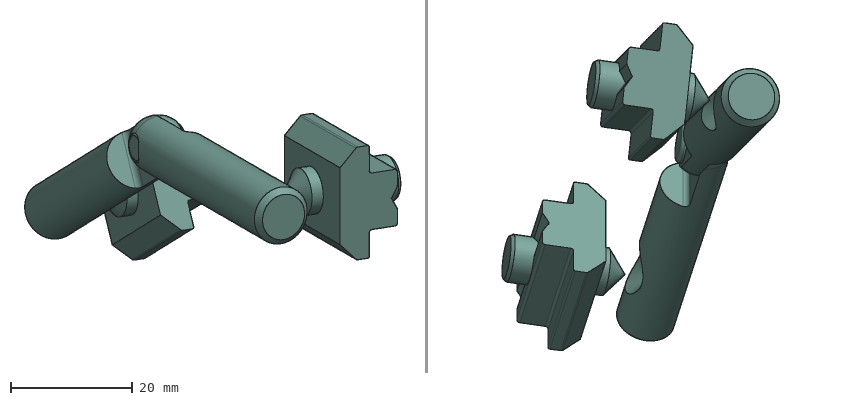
import cadquery as cq
import math


ROD_DIAMETER = 9.8
ROD_RADIUS = ROD_DIAMETER / 2
ROD_LENGTH = 45.0
ROD_END_CHAMFER = 1.0
HINGE_ANGLE = 30.0
LAP_LENGTH = 10.0
SHOULDER_FILLET = 1.0
TONGUE_THICKNESS = 3.0

SEAT_DISTANCE = 31.7
SEAT_MOUTH_RADIUS = 5.6

PIN_DIAMETER = 5.0
PIN_END_Y = -4.3
PIN_CHAMFER = 0.4
HEAD_DIAMETER = 6.5
HEAD_HEIGHT = 0.95
HEAD_FILLET = 0.6

NUT_LENGTH = 20.0
NUT_WIDTH = 19.5
NUT_FRONT_Y = 11.0
FLANGE_THICKNESS = 5.45
FLANGE_CHAMFER = 3.1
FLANGE_EDGE_FILLET = 0.3
FLANGE_CORNER_FILLET = 0.5
NECK_WIDTH = 9.8
NECK_HEIGHT = 5.25
NECK_FILLET = 0.5
GROOVE_DEPTH = 1.15
GROOVE_WIDTH = 4.0
RIGHT_NUT_DISTANCE = 34.0
LEFT_NUT_DISTANCE = 37.39

SCREW_DIAMETER = 8.0
SCREW_LENGTH = 20.0
SCREW_END_Y = 25.6
TIP_HEIGHT = 3.3
SCREW_CHAMFER_LENGTH = 0.6
SCREW_CHAMFER_DEPTH = 0.4


def y_cylinder(diameter, y_start, y_end):
    """Cylinder around the Y axis between two Y positions."""
    circle = cq.Workplane("XZ", origin=(0, y_start, 0)).circle(diameter / 2)
    return circle.extrude(y_start - y_end)


def y_block(x_start, x_end, y_start, y_end):
    """Block taller than a rod, between two X and two Y positions."""
    size = (x_end - x_start, y_end - y_start, 2 * ROD_DIAMETER)
    corner = (x_start, y_start, -ROD_DIAMETER)
    return cq.Workplane("XY").box(*size, centered=False).translate(corner)


def swing_left(body):
    """Turn a body lying along +X into the left arm, keeping its +Y side."""
    return body.rotate((0, 0, 0), (0, 1, 0), 180 - HINGE_ANGLE)


def rod_blank():
    """Rod along +X: ball end at the pivot, chamfered free end, conical seat."""
    arc_middle = ROD_RADIUS * math.sqrt(0.5)
    half_section = (
        cq.Workplane("XY")
        .moveTo(-ROD_RADIUS, 0)
        .threePointArc((-arc_middle, arc_middle), (0, ROD_RADIUS))
        .lineTo(ROD_LENGTH - ROD_END_CHAMFER, ROD_RADIUS)
        .lineTo(ROD_LENGTH, ROD_RADIUS - ROD_END_CHAMFER)
        .lineTo(ROD_LENGTH, 0)
        .close()
    )
    blank = half_section.revolve(360, (0, 0, 0), (1, 0, 0))

    seat_depth = SEAT_MOUTH_RADIUS * TIP_HEIGHT / (SCREW_DIAMETER / 2)
    seat = cq.Solid.makeCone(
        0, SEAT_MOUTH_RADIUS, seat_depth,
        pnt=cq.Vector(SEAT_DISTANCE, ROD_RADIUS - seat_depth, 0),
        dir=cq.Vector(0, 1, 0),
    )
    return blank.cut(cq.Workplane(seat))


def lap_cut(y_start, y_end, root_side):
    """Material removed beside a tongue, rounded where the tongue meets the shoulder."""
    cut = y_block(-ROD_DIAMETER, LAP_LENGTH, y_start, y_end)
    return cut.edges(f">X and {root_side}Y").fillet(SHOULDER_FILLET)


def make_right_rod():
    rod = rod_blank().cut(lap_cut(0, ROD_DIAMETER, "<"))
    return rod.cut(y_cylinder(PIN_DIAMETER, -ROD_DIAMETER, 0))


def make_left_rod():
    rod = rod_blank()
    rod = rod.cut(lap_cut(-ROD_DIAMETER, 0, ">"))
    rod = rod.cut(lap_cut(TONGUE_THICKNESS, ROD_DIAMETER, "<"))

    pin = y_cylinder(PIN_DIAMETER, PIN_END_Y, TONGUE_THICKNESS)
    pin = pin.faces("<Y").chamfer(PIN_CHAMFER)
    head = y_cylinder(HEAD_DIAMETER, TONGUE_THICKNESS, TONGUE_THICKNESS + HEAD_HEIGHT)
    head = head.faces(">Y").edges().fillet(HEAD_FILLET)
    return swing_left(rod.union(pin).union(head))


def make_nut(distance):
    """T-shaped slot nut with its length along X and its flange towards the rod."""
    half_width = NUT_WIDTH / 2
    half_neck = NECK_WIDTH / 2
    half_groove = GROOVE_WIDTH / 2
    chamfer_y = NUT_FRONT_Y + FLANGE_CHAMFER
    flange_y = NUT_FRONT_Y + FLANGE_THICKNESS
    back_y = flange_y + NECK_HEIGHT

    half_profile = [
        (half_width - FLANGE_CHAMFER, NUT_FRONT_Y),
        (half_width, chamfer_y),
        (half_width, flange_y),
        (half_neck, flange_y),
        (half_neck, back_y),
        (half_groove, back_y),
    ]
    upper = [(y, z) for z, y in half_profile]
    lower = [(y, -z) for z, y in reversed(half_profile)]
    groove_bottom = (back_y - GROOVE_DEPTH, 0)
    profile = cq.Workplane("YZ").polyline(upper + [groove_bottom] + lower).close()
    nut = profile.extrude(NUT_LENGTH / 2, both=True)

    for z in (half_neck, -half_neck):
        for y in (flange_y, back_y):
            nut = nut.edges(cq.NearestToPointSelector((0, y, z))).fillet(NECK_FILLET)
    for z in (half_width, -half_width):
        nut = nut.edges(cq.NearestToPointSelector((0, chamfer_y, z))).fillet(FLANGE_CORNER_FILLET)
        nut = nut.edges(cq.NearestToPointSelector((0, flange_y, z))).fillet(FLANGE_EDGE_FILLET)

    nut = nut.cut(y_cylinder(SCREW_DIAMETER, NUT_FRONT_Y, back_y))
    return nut.translate((distance, 0, 0))


def make_screw(distance):
    """Screw with a conical tip towards the rod and a chamfered outer end."""
    radius = SCREW_DIAMETER / 2
    tip_y = SCREW_END_Y - SCREW_LENGTH
    half_section = cq.Workplane("XY").polyline([
        (0, tip_y),
        (radius, tip_y + TIP_HEIGHT),
        (radius, SCREW_END_Y - SCREW_CHAMFER_LENGTH),
        (radius - SCREW_CHAMFER_DEPTH, SCREW_END_Y),
        (0, SCREW_END_Y),
    ]).close()
    screw = half_section.revolve(360, (0, 0, 0), (0, 1, 0))
    return screw.translate((distance, 0, 0))


right_rod = make_right_rod()
left_rod = make_left_rod()
right_nut = make_nut(RIGHT_NUT_DISTANCE)
left_nut = swing_left(make_nut(LEFT_NUT_DISTANCE))
right_screw = make_screw(RIGHT_NUT_DISTANCE)
left_screw = swing_left(make_screw(LEFT_NUT_DISTANCE))

bodies = [right_rod, left_rod, right_nut, left_nut, right_screw, left_screw]
result = cq.Compound.makeCompound([body.val() for body in bodies])